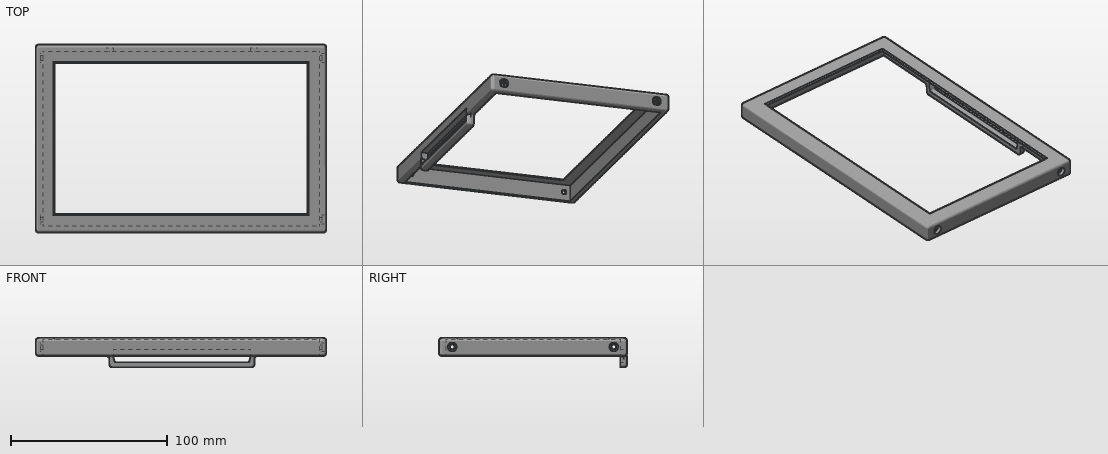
import cadquery as cq

length = 185.7
width = 120.3
total_height = 19.0
frame_height = 11.7
border = 12.0
outer_round = 2.0
inner_chamfer = 1.0

wall = 4.5
lip_thickness = 1.1

hole_diameter = 3.0
counterbore_diameter = 5.5
counterbore_depth = 3.0
hole_spacing = 103.2

handle_length = 92.8
grip_thickness = 3.3
leg_thickness = 3.5
leg_slant = 1.0
root_round = 1.9
gap_round = 1.0
gap_rise = 4.5
handle_offset = 0.5

handle_drop = total_height - frame_height
rear_y = width / 2


def make_frame():
    """Rounded rectangular frame with a chamfered opening and a recess below; its underside is at Z = 0."""
    body = cq.Workplane("XY").box(length, width, frame_height, centered=(True, True, False))
    body = body.edges().fillet(outer_round)
    opening_length = length - 2 * border
    opening_width = width - 2 * border
    opening = cq.Workplane("XY").rect(opening_length, opening_width).extrude(frame_height)
    lip = (
        cq.Workplane("XY")
        .workplane(offset=frame_height)
        .rect(opening_length + 2 * inner_chamfer, opening_width + 2 * inner_chamfer)
        .workplane(offset=-inner_chamfer)
        .rect(opening_length, opening_width)
        .loft(ruled=True)
    )
    recess = (
        cq.Workplane("XY")
        .rect(length - 2 * wall, width - 2 * wall)
        .extrude(frame_height - lip_thickness)
    )
    return body.cut(opening).cut(lip).cut(recess)


def make_handle_blank():
    """Solid blank of the handle, its rear face flush with the frame."""
    foot_x = handle_length / 2
    body = (
        cq.Workplane("XY")
        .box(handle_length, wall, handle_drop, centered=(True, False, False))
        .translate((0, rear_y - wall, -handle_drop))
    )
    body = body.edges("(|Z and >Y) or (|Y and <Z) or (<Z and >Y)").fillet(outer_round)
    for side in (-1, 1):
        body = body.union(make_root_flare(side, foot_x))
    return body.translate((handle_offset, 0, 0))


def make_root_flare(side, foot_x):
    """Small concave flare that blends one leg into the underside of the rear wall."""
    return (
        cq.Workplane("XZ", origin=(0, rear_y - outer_round, 0))
        .moveTo(side * foot_x, 0)
        .lineTo(side * (foot_x + root_round), 0)
        .radiusArc((side * foot_x, -root_round), side * -root_round)
        .close()
        .extrude(wall - outer_round)
    )


def make_finger_gap():
    """Cutter for the gap between the legs, which also notches the rear wall."""
    bottom_z = grip_thickness - handle_drop
    bottom_x = handle_length / 2 - leg_thickness
    root_x = bottom_x + leg_slant
    return (
        cq.Workplane("XZ", origin=(handle_offset, rear_y, 0))
        .polyline([
            (-root_x, gap_rise),
            (-root_x, 0),
            (-bottom_x, bottom_z),
            (bottom_x, bottom_z),
            (root_x, 0),
            (root_x, gap_rise),
        ])
        .close()
        .extrude(wall)
        .edges("|Y and <Z")
        .fillet(gap_round)
    )


def make_counterbored_hole(side, y):
    """Cutter for one counterbored screw hole in the end wall on the given side."""
    start = cq.Vector(side * length / 2, y, frame_height / 2)
    inward = cq.Vector(-side, 0, 0)
    bore = cq.Solid.makeCylinder(hole_diameter / 2, wall, start, inward)
    counterbore = cq.Solid.makeCylinder(counterbore_diameter / 2, counterbore_depth, start, inward)
    return cq.Workplane(bore).union(cq.Workplane(counterbore))


result = make_frame().union(make_handle_blank()).cut(make_finger_gap())
for end_side in (-1, 1):
    for hole_y in (-hole_spacing / 2, hole_spacing / 2):
        result = result.cut(make_counterbored_hole(end_side, hole_y))